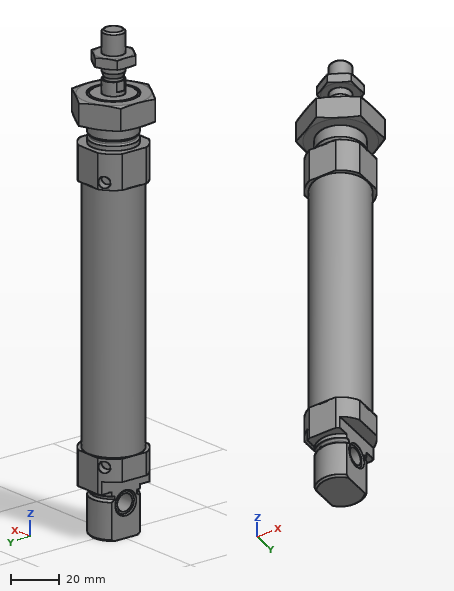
import cadquery as cq
import math

overall_length = 221.5
rear_cap_bottom = 22.0
foot_flat_top = 27.7
rear_cap_top = 37.9
front_cap_bottom = 156.0
front_cap_top = 171.9
nose_top = 193.5
thread_shoulder = 199.8

tube_diameter = 26.5
cap_diameter = 30.1
cap_across_flats = 27.2

neck_diameter = 22.0
neck_end_chamfer = 0.9
undercut_diameter = 19.7
undercut_width = 2.7
undercut_root_radius = 0.7
collar_height = 2.0

foot_across_flats = 16.0
pivot_hole_diameter = 8.0
pivot_recess_diameter = 10.0
pivot_recess_depth = 0.7
pivot_rim_diameter = 11.3
pivot_height = 15.5

port_diameter = 5.0
port_depth = 5.0
port_angle = 126.0
rear_port_height = 34.1
front_port_height = 159.3

rod_diameter = 10.0
rod_seat_bottom = front_cap_top
rod_tip_chamfer = 0.9
relief_diameter = 8.5
relief_width = 1.3
relief_taper = 2.2
rod_across_flats = 9.0
rod_flat_length = 4.5

nose_nut_across_corners = 37.0
nose_nut_height = 11.0
nose_nut_bottom = nose_top - nose_nut_height
nose_nut_face_diameter = 31.2
rod_nut_across_corners = 19.7
rod_nut_height = 4.7
rod_nut_bottom = 206.7
rod_nut_face_diameter = 16.6
nut_corner_angle = 12.0
nose_nut_countersink = 0.2


def cylinder(diameter, bottom, top):
    """Round bar on the Z axis between two levels."""
    return cq.Workplane("XY").workplane(offset=bottom).circle(diameter / 2).extrude(top - bottom)


def slab(x_size, y_size, bottom, top):
    """Rectangular block centred on the Z axis between two levels."""
    return cq.Workplane("XY").workplane(offset=bottom).rect(x_size, y_size).extrude(top - bottom)


def cap(bottom, top):
    """End cap: a round bar with four flats."""
    return cylinder(cap_diameter, bottom, top).intersect(
        slab(cap_across_flats, cap_across_flats, bottom, top)
    )


def neck(length):
    """Turned neck standing on Z = 0: collar, rounded undercut, then thread to a bevelled end."""
    neck_radius = neck_diameter / 2
    undercut_radius = undercut_diameter / 2
    undercut_top = collar_height + undercut_width
    bevel = neck_radius - undercut_radius
    root = undercut_root_radius
    root_offset = root * (1 - math.sqrt(0.5))
    profile = (
        cq.Workplane("XZ")
        .lineTo(neck_radius, 0)
        .lineTo(neck_radius, collar_height)
        .lineTo(undercut_radius + root, collar_height)
        .threePointArc(
            (undercut_radius + root_offset, collar_height + root_offset),
            (undercut_radius, collar_height + root),
        )
        .lineTo(undercut_radius, undercut_top - bevel)
        .lineTo(neck_radius, undercut_top)
        .lineTo(neck_radius, length - neck_end_chamfer)
        .lineTo(neck_radius - neck_end_chamfer, length)
        .lineTo(0, length)
        .close()
    )
    return profile.revolve(360, (0, 0), (0, 1))


def pivot_hole():
    """Cross hole along X through the foot, with a shallow coned recess at each flat."""
    face = foot_across_flats / 2
    floor = face - pivot_recess_depth
    hole_radius = pivot_hole_diameter / 2
    recess_radius = pivot_recess_diameter / 2
    rim_radius = pivot_rim_diameter / 2
    profile = [
        (-face, 0),
        (-face, rim_radius),
        (-floor, recess_radius),
        (-floor, hole_radius),
        (floor, hole_radius),
        (floor, recess_radius),
        (face, rim_radius),
        (face, 0),
    ]
    hole = cq.Workplane("XZ").polyline(profile).close().revolve(360, (0, 0), (1, 0))
    return hole.translate((0, 0, pivot_height))


def port(height):
    """Blind radial air port in the round corner of a cap."""
    cutter = cq.Workplane("YZ").workplane(offset=cap_diameter / 2 - port_depth)
    cutter = cutter.circle(port_diameter / 2).extrude(2 * port_depth)
    return cutter.translate((0, 0, height)).rotate((0, 0, 0), (0, 0, 1), port_angle)


def make_housing():
    """Barrel, both caps, threaded nose and rear foot in one piece."""
    front_cap = cap(front_cap_bottom, front_cap_top)
    barrel = cylinder(tube_diameter, rear_cap_top, front_cap_bottom)
    nose = neck(nose_top - front_cap_top).translate((0, 0, front_cap_top))

    foot = neck(rear_cap_bottom).rotate((0, 0, 0), (1, 0, 0), 180).translate((0, 0, rear_cap_bottom))
    rear = cap(rear_cap_bottom, rear_cap_top).union(foot)
    foot_limit = slab(foot_across_flats, cap_diameter, 0, foot_flat_top)
    cap_limit = slab(cap_diameter, cap_diameter, foot_flat_top, rear_cap_top)
    rear = rear.intersect(foot_limit.union(cap_limit)).cut(pivot_hole())

    body = front_cap.union(barrel).union(nose).union(rear)
    for height in (rear_port_height, front_port_height):
        body = body.cut(port(height))
    return body.cut(cylinder(rod_diameter, rod_seat_bottom, nose_top))


def make_rod():
    """Piston rod with a thread relief above its shoulder and two wrench flats below it."""
    rod_radius = rod_diameter / 2
    relief_radius = relief_diameter / 2
    relief_top = thread_shoulder + relief_width
    profile = [
        (0, rod_seat_bottom),
        (rod_radius, rod_seat_bottom),
        (rod_radius, thread_shoulder),
        (relief_radius, thread_shoulder),
        (relief_radius, relief_top),
        (rod_radius, relief_top + relief_taper),
        (rod_radius, overall_length - rod_tip_chamfer),
        (rod_radius - rod_tip_chamfer, overall_length),
        (0, overall_length),
    ]
    rod = cq.Workplane("XZ").polyline(profile).close().revolve(360, (0, 0), (0, 1))
    flat_bottom = thread_shoulder - rod_flat_length
    flat_cutter = slab(2 * rod_diameter, 2 * rod_diameter, flat_bottom, thread_shoulder).cut(
        slab(rod_across_flats, 2 * rod_diameter, flat_bottom, thread_shoulder)
    )
    return rod.cut(flat_cutter)


def hex_nut(across_corners, height, face_diameter, bore_diameter):
    """Hex nut on Z = 0 with corners along Y and coned corners on both faces."""
    corner_radius = across_corners / 2
    face_radius = face_diameter / 2
    corner_drop = (corner_radius - face_radius) * math.tan(math.radians(nut_corner_angle))
    hexagon = cq.Workplane("XY").polygon(6, across_corners).extrude(height)
    hexagon = hexagon.rotate((0, 0, 0), (0, 0, 1), 90)
    profile = [
        (0, 0),
        (face_radius, 0),
        (corner_radius, corner_drop),
        (corner_radius, height - corner_drop),
        (face_radius, height),
        (0, height),
    ]
    envelope = cq.Workplane("XZ").polyline(profile).close().revolve(360, (0, 0), (0, 1))
    return hexagon.intersect(envelope).cut(cylinder(bore_diameter, 0, height))


def make_nose_nut():
    """Large mounting nut, flush with the end of the nose and countersunk around its thread."""
    nut = hex_nut(nose_nut_across_corners, nose_nut_height, nose_nut_face_diameter, neck_diameter)
    top_radius = neck_diameter / 2 + nose_nut_countersink
    countersink = cq.Workplane("XY").workplane(offset=nose_nut_height).circle(top_radius)
    countersink = countersink.extrude(-nose_nut_countersink, taper=45)
    nut = nut.cut(countersink)
    return nut.translate((0, 0, nose_nut_bottom))


def make_rod_nut():
    """Small lock nut on the rod thread."""
    nut = hex_nut(rod_nut_across_corners, rod_nut_height, rod_nut_face_diameter, rod_diameter)
    return nut.translate((0, 0, rod_nut_bottom))


housing = make_housing()
piston_rod = make_rod()
nose_nut = make_nose_nut()
rod_nut = make_rod_nut()

result = cq.Compound.makeCompound([
    housing.val(),
    piston_rod.val(),
    nose_nut.val(),
    rod_nut.val(),
])